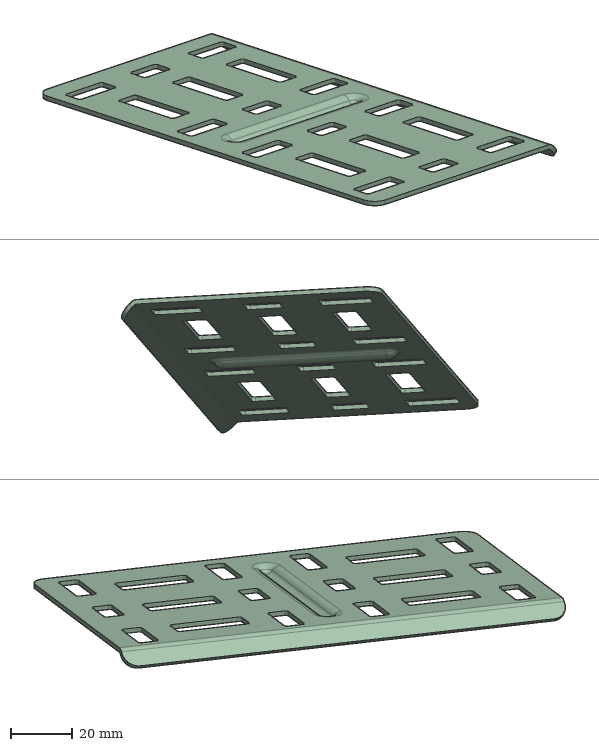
import cadquery as cq
import math

WIDTH = 155.0
DEPTH = 87.0
HEIGHT = 6.0
THICKNESS = 1.5
CORNER_RADIUS = 5.0

LIP_ANGLE = math.radians(45)
BEND_INNER_RADIUS = 1.2
BEND_OUTER_RADIUS = BEND_INNER_RADIUS + THICKNESS

SLOT_CORNER_RADIUS = 1.0
UPRIGHT_SLOT_WIDTH = 7.0
INNER_COLUMN_X = 14.9
OUTER_COLUMN_X = 66.0
UPRIGHT_SLOT_SPANS = [(5.0, 22.2), (35.2, 47.3), (62.0, 78.1)]
CROSS_SLOT_LENGTH = 25.1
CROSS_SLOT_WIDTH = 8.0
CROSS_COLUMN_X = (INNER_COLUMN_X + OUTER_COLUMN_X) / 2
CROSS_FIRST_Y = 17.0
CROSS_PITCH = 25.0
CROSS_ROWS = 3

BEAD_HALF_WIDTH = 4.8
BEAD_DEPTH = 2.5
BEAD_FRONT_Y = 14.1
BEAD_REAR_Y = 68.8
BEAD_STRAIGHT_LENGTH = BEAD_REAR_Y - BEAD_FRONT_Y
BEAD_FLOOR_RADIUS = 2.5


def make_bent_sheet():
    """Constant-thickness sheet with a rear lip, all four corners rounded."""
    across_y = THICKNESS * math.sin(LIP_ANGLE)
    across_z = THICKNESS * math.cos(LIP_ANGLE)
    tip_z = across_z - HEIGHT
    fold_y = DEPTH + tip_z / math.tan(LIP_ANGLE)
    bend_start_y = fold_y - BEND_OUTER_RADIUS * math.tan(LIP_ANGLE / 2)

    def bend_point(radius, angle):
        return (
            bend_start_y + radius * math.sin(angle),
            radius * math.cos(angle) - BEND_OUTER_RADIUS,
        )

    sheet = (
        cq.Workplane("YZ")
        .moveTo(0, 0)
        .lineTo(bend_start_y, 0)
        .threePointArc(
            bend_point(BEND_OUTER_RADIUS, LIP_ANGLE / 2),
            bend_point(BEND_OUTER_RADIUS, LIP_ANGLE),
        )
        .lineTo(DEPTH, tip_z)
        .lineTo(DEPTH - across_y, -HEIGHT)
        .lineTo(*bend_point(BEND_INNER_RADIUS, LIP_ANGLE))
        .threePointArc(
            bend_point(BEND_INNER_RADIUS, LIP_ANGLE / 2),
            (bend_start_y, -THICKNESS),
        )
        .lineTo(0, -THICKNESS)
        .close()
        .extrude(WIDTH / 2, both=True)
    )
    sheet = sheet.faces("<Y").edges("|Z").fillet(CORNER_RADIUS)
    lip_end = cq.Vector(0, math.cos(LIP_ANGLE), -math.sin(LIP_ANGLE))
    lip_normal = cq.Vector(0, math.sin(LIP_ANGLE), math.cos(LIP_ANGLE))
    lip_end_face = sheet.faces(cq.DirectionMinMaxSelector(lip_end))
    lip_corners = lip_end_face.edges(cq.ParallelDirSelector(lip_normal))
    return lip_corners.fillet(CORNER_RADIUS)


def slot_cutter(size_x, size_y, centers):
    """Rounded rectangular cutters through the flat sheet."""
    return (
        cq.Workplane("XY")
        .pushPoints(centers)
        .rect(size_x, size_y)
        .extrude(-THICKNESS)
        .edges("|Z")
        .fillet(SLOT_CORNER_RADIUS)
    )


def cut_slots(sheet):
    """Four columns of upright slots and two columns of cross slots."""
    columns = [side * x for x in (INNER_COLUMN_X, OUTER_COLUMN_X) for side in (-1, 1)]
    for front_y, rear_y in UPRIGHT_SLOT_SPANS:
        centers = [(x, (front_y + rear_y) / 2) for x in columns]
        sheet = sheet.cut(slot_cutter(UPRIGHT_SLOT_WIDTH, rear_y - front_y, centers))

    cross_centers = [
        (side * CROSS_COLUMN_X, CROSS_FIRST_Y + row * CROSS_PITCH)
        for side in (-1, 1)
        for row in range(CROSS_ROWS)
    ]
    return sheet.cut(slot_cutter(CROSS_SLOT_LENGTH, CROSS_SLOT_WIDTH, cross_centers))


def bead_half_section():
    """Right half of the bead section: a shoulder arc runs tangentially into a floor arc."""
    slope = 2 * math.atan(BEAD_DEPTH / BEAD_HALF_WIDTH)
    shoulder_radius = BEAD_HALF_WIDTH / math.sin(slope) - BEAD_FLOOR_RADIUS
    floor_center_z = BEAD_FLOOR_RADIUS - BEAD_DEPTH

    def shoulder_point(offset, angle):
        radius = shoulder_radius - offset
        return BEAD_HALF_WIDTH - radius * math.sin(angle), radius * math.cos(angle) - shoulder_radius

    def floor_point(offset, angle):
        radius = BEAD_FLOOR_RADIUS + offset
        return radius * math.sin(angle), floor_center_z - radius * math.cos(angle)

    return (
        cq.Workplane("XZ")
        .moveTo(BEAD_HALF_WIDTH, 0)
        .threePointArc(shoulder_point(0, slope / 2), shoulder_point(0, slope))
        .threePointArc(floor_point(0, slope / 2), floor_point(0, 0))
        .lineTo(*floor_point(THICKNESS, 0))
        .threePointArc(floor_point(THICKNESS, slope / 2), floor_point(THICKNESS, slope))
        .threePointArc(shoulder_point(THICKNESS, slope / 2), (BEAD_HALF_WIDTH, -THICKNESS))
        .close()
    )


def make_bead():
    """Pressed shell with straight sides and half-round ends."""
    half_channel = bead_half_section().extrude(-BEAD_STRAIGHT_LENGTH)
    rear_end = bead_half_section().revolve(180, (0, 0), (0, 1))
    front_end = rear_end.mirror("XZ")
    bead = half_channel.union(half_channel.mirror("YZ"))
    bead = bead.union(front_end).union(rear_end.translate((0, BEAD_STRAIGHT_LENGTH, 0)))
    return bead.translate((0, BEAD_FRONT_Y, 0))


def press_bead(sheet):
    """Replace the flat metal in the bead outline with the pressed shell."""
    opening = (
        cq.Workplane("XY")
        .center(0, (BEAD_FRONT_Y + BEAD_REAR_Y) / 2)
        .slot2D(BEAD_STRAIGHT_LENGTH + 2 * BEAD_HALF_WIDTH, 2 * BEAD_HALF_WIDTH, 90)
        .extrude(-THICKNESS)
    )
    return sheet.cut(opening).union(make_bead())


result = press_bead(cut_slots(make_bent_sheet()))